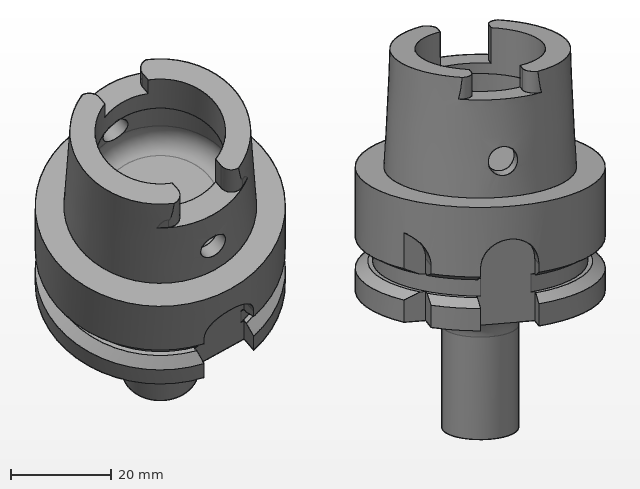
import cadquery as cq
import math

TOTAL_HEIGHT = 79.9
FLANGE_TOP = 55.0
FLANGE_BOTTOM = 28.9

SHANK_RADIUS = 15.4 / 2
BLEND_START = 21.65
BLEND_END = 26.5
BLEND_END_RADIUS = 10.7
NECK_CONE_RADIUS = 19.7

FLANGE_RADIUS = 49.9 / 2
GROOVE_RADIUS = 21.5
GROOVE_EDGE_RADIUS = 22.45
GROOVE_BOTTOM = 35.1
GROOVE_TOP = 38.8
GROOVE_CHAMFER = 1.4

TAPER_BASE_RADIUS = 19.25
TAPER_TOP_RADIUS = 18.05
BORE_RADIUS = 26.05 / 2
BORE_END = 70.15
UNDERCUT_RADIUS = 32.1 / 2
UNDERCUT_BOTTOM = 60.1
CAVITY_CORNER_RADIUS = 4.2
CAVITY_FLOOR = UNDERCUT_BOTTOM - CAVITY_CORNER_RADIUS

CROSS_HOLE_DIAMETER = 6.0
CROSS_HOLE_HEIGHT = 62.5

DRIVE_SLOT_WIDTH = 10.5
DRIVE_LOBE_RADIUS = 2.5
DRIVE_LOBE_REACH = 16.3
DRIVE_LOBE_ANGLE = 30.0
DRIVE_FLANK_LENGTH = 2.4
LEFT_DRIVE_FLOOR = 75.35
RIGHT_DRIVE_FLOOR = 72.4

KEYWAY_RADIUS = 6.0
KEYWAY_TOP = 48.0
KEYWAY_FLOOR = 20.85
NOTCH_FLOOR = 15.5
NOTCH_CENTRE = 21.1

CUTTER_REACH = 31.95


def make_body():
    """Revolve the outside: shank, blend, grooved flange and taper."""
    profile = (
        cq.Workplane("XZ")
        .moveTo(0, 0)
        .lineTo(SHANK_RADIUS, 0)
        .lineTo(SHANK_RADIUS, BLEND_START)
        .tangentArcPoint((BLEND_END_RADIUS, BLEND_END), relative=False)
        .lineTo(NECK_CONE_RADIUS, FLANGE_BOTTOM)
        .lineTo(FLANGE_RADIUS, FLANGE_BOTTOM)
        .lineTo(FLANGE_RADIUS, GROOVE_BOTTOM - GROOVE_CHAMFER)
        .lineTo(GROOVE_EDGE_RADIUS, GROOVE_BOTTOM)
        .lineTo(GROOVE_RADIUS, GROOVE_BOTTOM)
        .lineTo(GROOVE_RADIUS, GROOVE_TOP)
        .lineTo(GROOVE_EDGE_RADIUS, GROOVE_TOP)
        .lineTo(FLANGE_RADIUS, GROOVE_TOP + GROOVE_CHAMFER)
        .lineTo(FLANGE_RADIUS, FLANGE_TOP)
        .lineTo(TAPER_BASE_RADIUS, FLANGE_TOP)
        .lineTo(TAPER_TOP_RADIUS, TOTAL_HEIGHT)
        .lineTo(0, TOTAL_HEIGHT)
        .close()
    )
    return profile.revolve(360, (0, 0), (0, 1))


def make_cavity():
    """Revolve the bore, the wider undercut below it and its rounded floor corner."""
    profile = (
        cq.Workplane("XZ")
        .moveTo(0, CAVITY_FLOOR)
        .lineTo(UNDERCUT_RADIUS - CAVITY_CORNER_RADIUS, CAVITY_FLOOR)
        .tangentArcPoint((UNDERCUT_RADIUS, UNDERCUT_BOTTOM), relative=False)
        .lineTo(UNDERCUT_RADIUS, BORE_END)
        .lineTo(BORE_RADIUS, BORE_END)
        .lineTo(BORE_RADIUS, TOTAL_HEIGHT)
        .lineTo(0, TOTAL_HEIGHT)
        .close()
    )
    return profile.revolve(360, (0, 0), (0, 1))


def make_drive_slot(side, floor):
    """Slot from the axis outward (side = -1 or +1), with rounded lobes at its mouth."""
    half_width = DRIVE_SLOT_WIDTH / 2
    lobe_x = DRIVE_LOBE_REACH - DRIVE_LOBE_RADIUS
    lobe_y = half_width + DRIVE_LOBE_RADIUS
    tilt = math.radians(DRIVE_LOBE_ANGLE)
    lobe_end_x = lobe_x + DRIVE_LOBE_RADIUS * math.cos(tilt)
    lobe_end_y = lobe_y + DRIVE_LOBE_RADIUS * math.sin(tilt)
    flank_x = lobe_end_x - DRIVE_FLANK_LENGTH * math.sin(tilt)
    flank_y = lobe_end_y + DRIVE_FLANK_LENGTH * math.cos(tilt)
    half_slot = (
        cq.Workplane("XY", origin=(0, 0, floor))
        .moveTo(0, 0)
        .lineTo(0, half_width)
        .lineTo(lobe_x, half_width)
        .threePointArc((DRIVE_LOBE_REACH, lobe_y), (lobe_end_x, lobe_end_y))
        .lineTo(flank_x, flank_y)
        .lineTo(CUTTER_REACH, flank_y)
        .lineTo(CUTTER_REACH, 0)
        .close()
        .extrude(TOTAL_HEIGHT - floor)
    )
    slot = half_slot.union(half_slot.mirror("XZ"))
    return slot if side > 0 else slot.mirror("YZ")


def make_flange_slot(side, floor, centre_y):
    """Round-topped slot, open at the flange's lower face, with a flat floor at x = side * floor."""
    arc_centre = KEYWAY_TOP - KEYWAY_RADIUS
    return (
        cq.Workplane("YZ", origin=(side * floor, 0, 0))
        .moveTo(centre_y - KEYWAY_RADIUS, FLANGE_BOTTOM)
        .lineTo(centre_y - KEYWAY_RADIUS, arc_centre)
        .threePointArc((centre_y, KEYWAY_TOP), (centre_y + KEYWAY_RADIUS, arc_centre))
        .lineTo(centre_y + KEYWAY_RADIUS, FLANGE_BOTTOM)
        .close()
        .extrude(side * (CUTTER_REACH - floor))
    )


cross_hole = (
    cq.Workplane("YZ", origin=(0, 0, CROSS_HOLE_HEIGHT))
    .circle(CROSS_HOLE_DIAMETER / 2)
    .extrude(CUTTER_REACH, both=True)
)

result = make_body().cut(make_cavity()).cut(cross_hole)

for side, drive_floor in ((-1, LEFT_DRIVE_FLOOR), (1, RIGHT_DRIVE_FLOOR)):
    result = result.cut(make_drive_slot(side, drive_floor))
    result = result.cut(make_flange_slot(side, KEYWAY_FLOOR, 0))

result = result.cut(make_flange_slot(-1, NOTCH_FLOOR, NOTCH_CENTRE))